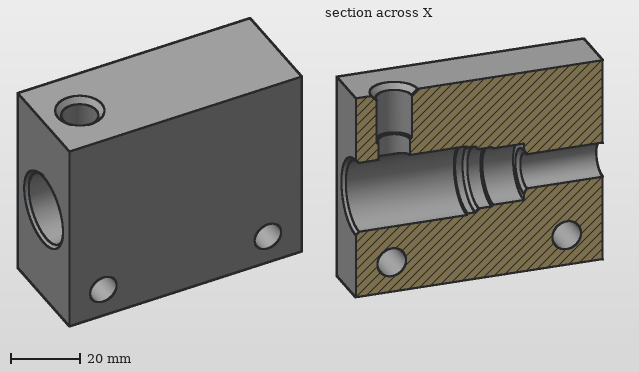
import cadquery as cq
import math

width = 31.8
length = 76.2
height = 63.5
front_y = -length / 2
top_z = height / 2

drill_half_angle = math.radians(59)

mouth_diameter = 23.8
main_diameter = 21.8
rim_diameter = 21.3
liner_diameter = 20.9
neck_diameter = 18.75
floor_diameter = 17.8
seat_diameter = 13.9
through_diameter = 10.75
main_depth = 34.3
neck_depth = 41.9
floor_depth = 51.8
liner_length = 2.3

port_offset = 11.9
port_mouth_diameter = 14.25
port_diameter = 10.75
port_drill_diameter = 9.6
port_depth = 15.25

mount_diameter = 8.7
mount_height = 9.45
mount_front_offset = 11.1
mount_spacing = 53.95


def cone_depth(large_diameter, small_diameter, half_angle=math.radians(45)):
    """Axial length of a cone between two diameters."""
    return (large_diameter - small_diameter) / 2 / math.tan(half_angle)


def stepped_cutter(profile):
    """Solid of revolution about Z going down from Z = 0, from (diameter, depth) pairs."""
    outline = cq.Workplane("XZ")
    for diameter, depth in profile:
        outline = outline.lineTo(diameter / 2, -depth)
    end_depth = profile[-1][1]
    return outline.lineTo(0, -end_depth).close().revolve(360, (0, 0, 0), (0, 1, 0))


def bore_cutter():
    """Stepped bore entering at the front face and passing through the back face."""
    liner_depth = main_depth + cone_depth(rim_diameter, liner_diameter)
    cone_start = liner_depth + liner_length
    seat_depth = floor_depth + cone_depth(seat_diameter, through_diameter, drill_half_angle)
    profile = [
        (mouth_diameter, 0),
        (main_diameter, cone_depth(mouth_diameter, main_diameter)),
        (main_diameter, main_depth),
        (rim_diameter, main_depth),
        (liner_diameter, liner_depth),
        (liner_diameter, cone_start),
        (neck_diameter, cone_start + cone_depth(liner_diameter, neck_diameter)),
        (neck_diameter, neck_depth),
        (floor_diameter, neck_depth + cone_depth(neck_diameter, floor_diameter)),
        (floor_diameter, floor_depth),
        (seat_diameter, floor_depth),
        (through_diameter, seat_depth),
        (through_diameter, length),
    ]
    cutter = stepped_cutter(profile)
    return cutter.rotate((0, 0, 0), (1, 0, 0), 90).translate((0, front_y, 0))


def port_cutter():
    """Chamfered, stepped hole from the top face down to the bore axis."""
    shoulder_length = cone_depth(port_diameter, port_drill_diameter, drill_half_angle)
    bore_axis_depth = height / 2
    profile = [
        (port_mouth_diameter, 0),
        (port_diameter, cone_depth(port_mouth_diameter, port_diameter)),
        (port_diameter, port_depth),
        (port_drill_diameter, port_depth + shoulder_length),
        (port_drill_diameter, bore_axis_depth),
    ]
    return stepped_cutter(profile).translate((0, front_y + port_offset, top_z))


def mount_cutter():
    """Pair of round holes through the full width."""
    first_y = front_y + mount_front_offset
    centre_z = mount_height - height / 2
    return (
        cq.Workplane("YZ", origin=(-width / 2, 0, 0))
        .pushPoints([(first_y, centre_z), (first_y + mount_spacing, centre_z)])
        .circle(mount_diameter / 2)
        .extrude(width)
    )


block = cq.Workplane("XY").box(width, length, height)
result = block.cut(bore_cutter()).cut(port_cutter()).cut(mount_cutter())